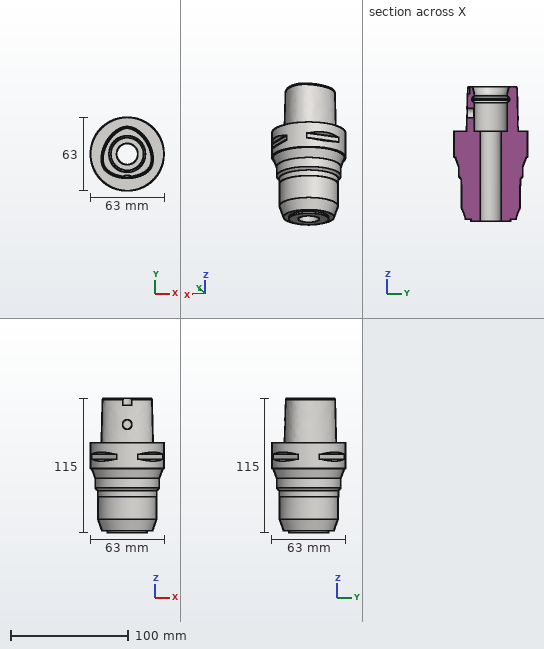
import cadquery as cq
import math

TOTAL_HEIGHT = 115.0
SHANK_LENGTH = 38.0
FLANGE_TOP = TOTAL_HEIGHT - SHANK_LENGTH
FLANGE_BOTTOM = 54.7
CONE_BOTTOM = 46.6
STEP_TOP = 38.4
STEP_BOTTOM = 36.0
COLLAR_BOTTOM = 31.0
NOSE_TOP = 11.5
NOSE_BOTTOM = 1.7

FLANGE_RADIUS = 31.5
FLANGE_CHAMFER = 0.3
CONE_TOP_RADIUS = 30.5
NECK_RADIUS = 27.5
COLLAR_RADIUS = 25.4
BODY_RADIUS = 25.1
NOSE_END_RADIUS = 21.6
SPIGOT_RADIUS = 17.0

SHANK_BASE_RADIUS = 22.2
SHANK_TAPER = 1 / 40
LOBE_HEIGHT = 1.4
RIM_CHAMFER_HEIGHT = 1.4
RIM_CHAMFER_INSET = 0.7
OUTLINE_POINTS = 72

MOUTH_RADIUS = 15.6
BORE_RADIUS = 13.9
MOUTH_DEPTH = 6.0
GROOVE_TOP_DEPTH = 7.7
GROOVE_WALL_DEPTH = 10.1
GROOVE_RADIUS = 16.0
GROOVE_BOTTOM_DEPTH = 13.8
BORE_DEPTH = SHANK_LENGTH
THROUGH_RADIUS = 9.0

NOTCH_DEPTH = 6.0
NOTCH_RADIUS = 4.8
NOTCH_ROOT_Y = -17.9
SIDE_HOLE_RADIUS = 4.0
SIDE_HOLE_DEPTH = 22.4
SIDE_HOLE_FLOOR_Y = -14.4

GRIPPER_COUNT = 4
GRIPPER_HEIGHT = 65.1
GRIPPER_FLOOR_DISTANCE = 27.7
GRIPPER_FLARE_DISTANCE = 28.5
GRIPPER_SLOT_WIDTH = 4.3
GRIPPER_MOUTH_WIDTH = 7.7


def revolve_profile(points):
    """Spin a closed (radius, height) outline about the Z axis."""
    return cq.Workplane("XZ").polyline(points).close().revolve(360, (0, 0), (0, 1))


def lobed_outline(mean_radius):
    """Points of the three-lobed curve whose first lobe points to +Y.

    Outlines of different mean radius are parallel to each other.
    """
    points = []
    for i in range(OUTLINE_POINTS):
        turn = 2 * math.pi * i / OUTLINE_POINTS + math.pi
        reach = mean_radius + LOBE_HEIGHT * math.cos(3 * turn)
        slide = -3 * LOBE_HEIGHT * math.sin(3 * turn)
        x = -reach * math.sin(turn) - slide * math.cos(turn)
        y = reach * math.cos(turn) - slide * math.sin(turn)
        points.append((x, y))
    return points


def lobed_frustum(bottom, bottom_radius, top, top_radius):
    """Solid between a lobed outline at one height and a smaller one above it."""
    return (
        cq.Workplane("XY", origin=(0, 0, bottom))
        .spline(lobed_outline(bottom_radius), periodic=True)
        .close()
        .workplane(offset=top - bottom)
        .spline(lobed_outline(top_radius), periodic=True)
        .close()
        .loft(ruled=True)
    )


def turned_body():
    return revolve_profile([
        (0, 0),
        (SPIGOT_RADIUS, 0),
        (SPIGOT_RADIUS, NOSE_BOTTOM),
        (NOSE_END_RADIUS, NOSE_BOTTOM),
        (BODY_RADIUS, NOSE_TOP),
        (BODY_RADIUS, COLLAR_BOTTOM),
        (COLLAR_RADIUS, COLLAR_BOTTOM),
        (COLLAR_RADIUS, STEP_BOTTOM),
        (NECK_RADIUS, STEP_TOP),
        (NECK_RADIUS, CONE_BOTTOM),
        (CONE_TOP_RADIUS, FLANGE_BOTTOM),
        (FLANGE_RADIUS - FLANGE_CHAMFER, FLANGE_BOTTOM),
        (FLANGE_RADIUS, FLANGE_BOTTOM + FLANGE_CHAMFER),
        (FLANGE_RADIUS, FLANGE_TOP),
        (0, FLANGE_TOP),
    ])


def shank():
    rim_bottom = TOTAL_HEIGHT - RIM_CHAMFER_HEIGHT
    rim_radius = SHANK_BASE_RADIUS - SHANK_TAPER * (rim_bottom - FLANGE_TOP)
    taper = lobed_frustum(FLANGE_TOP, SHANK_BASE_RADIUS, rim_bottom, rim_radius)
    rim = lobed_frustum(rim_bottom, rim_radius, TOTAL_HEIGHT, rim_radius - RIM_CHAMFER_INSET)
    return taper.union(rim)


def bore():
    """Tapered mouth, undercut groove with sloped sides, and through hole."""
    wall_bottom = TOTAL_HEIGHT - GROOVE_BOTTOM_DEPTH + (GROOVE_RADIUS - BORE_RADIUS)
    return revolve_profile([
        (0, TOTAL_HEIGHT),
        (MOUTH_RADIUS, TOTAL_HEIGHT),
        (BORE_RADIUS, TOTAL_HEIGHT - MOUTH_DEPTH),
        (BORE_RADIUS, TOTAL_HEIGHT - GROOVE_TOP_DEPTH),
        (GROOVE_RADIUS, TOTAL_HEIGHT - GROOVE_WALL_DEPTH),
        (GROOVE_RADIUS, wall_bottom),
        (BORE_RADIUS, TOTAL_HEIGHT - GROOVE_BOTTOM_DEPTH),
        (BORE_RADIUS, TOTAL_HEIGHT - BORE_DEPTH),
        (THROUGH_RADIUS, TOTAL_HEIGHT - BORE_DEPTH),
        (THROUGH_RADIUS, 0),
        (0, 0),
    ])


def key_notch():
    """Round-backed notch in the shank rim."""
    return (
        cq.Workplane("XY", origin=(0, NOTCH_ROOT_Y - NOTCH_RADIUS, TOTAL_HEIGHT - NOTCH_DEPTH))
        .circle(NOTCH_RADIUS)
        .extrude(NOTCH_DEPTH)
    )


def side_hole():
    """Flat-bottomed blind hole entering the shank from -Y."""
    return (
        cq.Workplane("XZ", origin=(0, SIDE_HOLE_FLOOR_Y, TOTAL_HEIGHT - SIDE_HOLE_DEPTH))
        .circle(SIDE_HOLE_RADIUS)
        .extrude(FLANGE_RADIUS)
    )


def gripper_groove(angle):
    """Straight square slot with a flared mouth across the flange, facing the given angle."""
    half_slot = GRIPPER_SLOT_WIDTH / 2
    half_mouth = GRIPPER_MOUTH_WIDTH / 2
    return (
        cq.Workplane("XZ", origin=(0, 0, GRIPPER_HEIGHT))
        .polyline([
            (GRIPPER_FLOOR_DISTANCE, -half_slot),
            (GRIPPER_FLARE_DISTANCE, -half_slot),
            (FLANGE_RADIUS, -half_mouth),
            (FLANGE_RADIUS, half_mouth),
            (GRIPPER_FLARE_DISTANCE, half_slot),
            (GRIPPER_FLOOR_DISTANCE, half_slot),
        ])
        .close()
        .extrude(FLANGE_RADIUS, both=True)
        .rotate((0, 0, 0), (0, 0, 1), angle)
    )


result = turned_body().union(shank()).cut(bore()).cut(key_notch()).cut(side_hole())
for i in range(GRIPPER_COUNT):
    result = result.cut(gripper_groove((i + 0.5) * 360 / GRIPPER_COUNT))